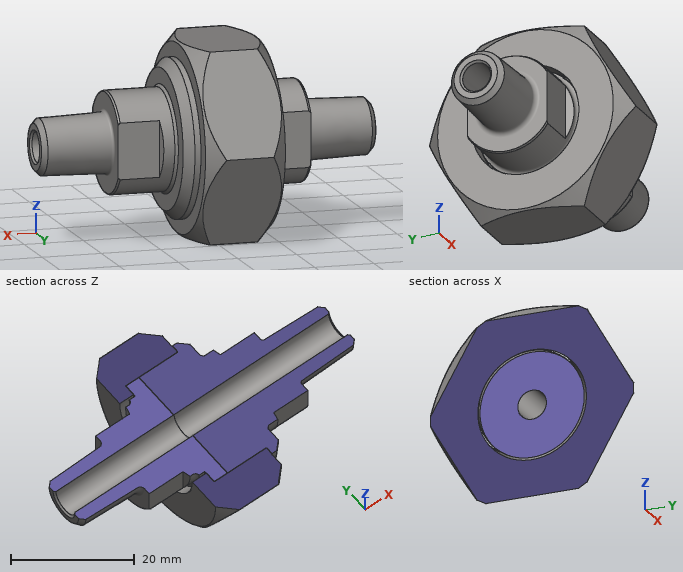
import cadquery as cq
import math

total_length = 56.5
bore_diameter = 5.0

spigot_length = 12.0
spigot_tip_radius = 4.72
spigot_root_radius = 5.05
spigot_chamfer = 0.85
left_root_fillet = 0.85
right_root_fillet = 0.45
bore_mouth_chamfer = 0.35

collar_diameter = 17.0
collar_edge_length = 0.35
collar_edge_depth = 0.15
flat_spacing = 14.2
flat_length = 6.95
flat_runout = 0.35

nut_left = -9.4
nut_width = 13.5
nut_across_flats = 32.0
nut_face_diameter = 31.4
nut_lip_thickness = 2.8
nut_opening_diameter = 19.1
nut_cavity_diameter = 23.5

left_flange_thickness = 2.8
left_sleeve_diameter = 18.5
left_sleeve_depth = 1.7
right_flange_diameter = 26.4
right_flange_thickness = 2.55
right_flange_chamfer = 1.5
right_neck_chamfer = 0.45

left_end = -total_length / 2
right_end = total_length / 2
left_shoulder = left_end + spigot_length
right_shoulder = right_end - spigot_length
nut_right = nut_left + nut_width
lip_inside = nut_left + nut_lip_thickness
joint_face = lip_inside + left_flange_thickness
right_flange_end = nut_right + right_flange_thickness
bore_radius = bore_diameter / 2
collar_radius = collar_diameter / 2
sleeve_radius = left_sleeve_diameter / 2
sleeve_start = nut_left + left_sleeve_depth
cavity_radius = nut_cavity_diameter / 2


def revolve_about_x(profile):
    """Revolve a closed profile, drawn as (x, radius), about the X axis."""
    return profile.close().revolve(360, (0, 0, 0), (1, 0, 0))


def pipe_end(profile, tip, shoulder, root_fillet, mouth_chamfer):
    """Draw bore mouth, tapered spigot, root fillet and collar edge, from the tip inward."""
    inward = math.copysign(1, shoulder - tip)
    arc_gap = root_fillet * (1 - math.sqrt(0.5))
    fillet_start = shoulder - inward * root_fillet
    return (
        profile
        .lineTo(tip + inward * mouth_chamfer, bore_radius)
        .lineTo(tip, bore_radius + mouth_chamfer)
        .lineTo(tip, spigot_tip_radius - spigot_chamfer)
        .lineTo(tip + inward * spigot_chamfer, spigot_tip_radius)
        .lineTo(fillet_start, spigot_root_radius)
        .threePointArc(
            (shoulder - inward * arc_gap, spigot_root_radius + arc_gap),
            (shoulder, spigot_root_radius + root_fillet),
        )
        .lineTo(shoulder, collar_radius - collar_edge_depth)
        .lineTo(shoulder + inward * collar_edge_length, collar_radius)
    )


def cut_wrench_flats(body, shoulder, inward):
    """Cut two flats into the collar, each ending in a short sloped runout."""
    half_spacing = flat_spacing / 2
    flat_end = shoulder + inward * flat_length
    runout_end = flat_end + inward * flat_runout
    for side in (-1, 1):
        cutter = (
            cq.Workplane("XY")
            .moveTo(shoulder, side * half_spacing)
            .lineTo(flat_end, side * half_spacing)
            .lineTo(runout_end, side * collar_radius)
            .lineTo(shoulder, side * collar_radius)
            .close()
            .extrude(collar_radius, both=True)
        )
        body = body.cut(cutter)
    return body


def make_left_pipe():
    """Left pipe: spigot, collar, sleeve in the nut opening and flange behind the nut lip."""
    neck_fillet = sleeve_radius - collar_radius
    arc_gap = neck_fillet * (1 - math.sqrt(0.5))
    profile = cq.Workplane("XY").moveTo(joint_face, bore_radius)
    profile = (
        pipe_end(profile, left_end, left_shoulder, left_root_fillet, bore_mouth_chamfer)
        .lineTo(sleeve_start - neck_fillet, collar_radius)
        .threePointArc(
            (sleeve_start - arc_gap, collar_radius + arc_gap),
            (sleeve_start, sleeve_radius),
        )
        .lineTo(lip_inside, sleeve_radius)
        .lineTo(lip_inside, cavity_radius)
        .lineTo(joint_face, cavity_radius)
    )
    return cut_wrench_flats(revolve_about_x(profile), left_shoulder, 1)


def make_right_pipe():
    """Right pipe: spigot, collar, outer flange and the plug inside the nut."""
    flange_radius = right_flange_diameter / 2
    profile = cq.Workplane("XY").moveTo(joint_face, bore_radius)
    profile = (
        pipe_end(profile, right_end, right_shoulder, right_root_fillet, bore_mouth_chamfer)
        .lineTo(right_flange_end + right_neck_chamfer, collar_radius)
        .lineTo(right_flange_end, collar_radius + right_neck_chamfer)
        .lineTo(right_flange_end, flange_radius - right_flange_chamfer)
        .lineTo(right_flange_end - right_flange_chamfer, flange_radius)
        .lineTo(nut_right, flange_radius)
        .lineTo(nut_right, cavity_radius)
        .lineTo(joint_face, cavity_radius)
    )
    return cut_wrench_flats(revolve_about_x(profile), right_shoulder, -1)


def make_nut():
    """Hexagonal union nut, corners on the Y axis, chamfered at 45 degrees on both faces."""
    corner_radius = nut_across_flats / math.sqrt(3)
    face_radius = nut_face_diameter / 2
    chamfer = corner_radius - face_radius
    hexagon = (
        cq.Workplane("YZ", origin=(nut_left, 0, 0))
        .polygon(6, 2 * corner_radius)
        .extrude(nut_width)
    )
    envelope = revolve_about_x(
        cq.Workplane("XY")
        .moveTo(nut_left, nut_opening_diameter / 2)
        .lineTo(nut_left, face_radius)
        .lineTo(nut_left + chamfer, corner_radius)
        .lineTo(nut_right - chamfer, corner_radius)
        .lineTo(nut_right, face_radius)
        .lineTo(nut_right, cavity_radius)
        .lineTo(lip_inside, cavity_radius)
        .lineTo(lip_inside, nut_opening_diameter / 2)
    )
    return hexagon.intersect(envelope)


left_pipe = make_left_pipe()
right_pipe = make_right_pipe()
nut = make_nut()

result = cq.Compound.makeCompound([left_pipe.val(), right_pipe.val(), nut.val()])